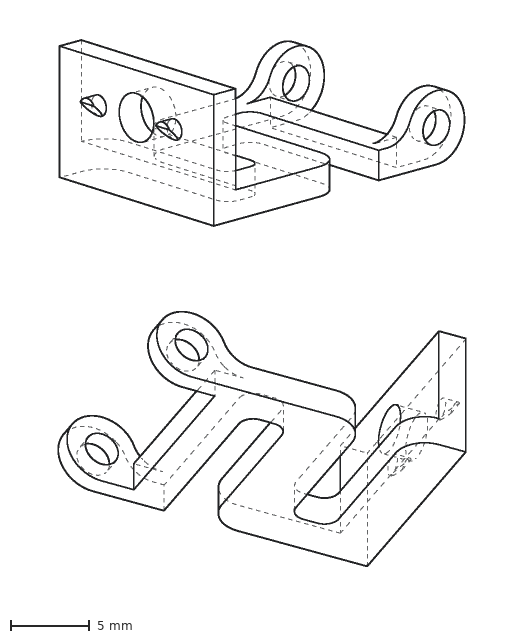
import cadquery as cq
import math

width = 14.3
plate_height = 8.7
plate_thickness = 1.9
base_thickness = 2.0

base_back = 17.05
slot_width = 3.0
front_slot_y = 3.95
back_slot_y = 11.3
front_slot_end_x = 11.3
back_slot_end_x = 2.45
slot_corner_radius = 1.0
bend_radius = 2.2
front_arm_radius = front_slot_y - plate_thickness

ear_width = 1.3
eye_radius = 2.45
eye_hole_diameter = 2.3
eye_y = 19.3
neck_radius = 2.1

plate_hole_diameter = 3.2
fixing_z = 5.57
pin_diameter = 1.4
pin_spacing = 7.0
pin_length = 1.0
pin_cut_rise = 0.02


def make_plate():
    """Upright plate with its central through hole."""
    plate = cq.Workplane("XY").box(width, plate_thickness, plate_height, centered=False)
    hole = (
        cq.Workplane("XZ", origin=(width / 2, 0, fixing_z))
        .circle(plate_hole_diameter / 2)
        .extrude(-plate_thickness)
    )
    return plate.cut(hole)


def rounded_corner(slab, x, y, radius):
    """Round the upright edge of a slab that passes through (x, y)."""
    edge = cq.selectors.NearestToPointSelector((x, y, base_thickness / 2))
    return slab.edges(edge).fillet(radius)


def make_base():
    """S-shaped slab with one slot from each side; it runs under the plate to the front face."""
    outline = [
        (0, 0),
        (0, front_slot_y),
        (front_slot_end_x, front_slot_y),
        (front_slot_end_x, front_slot_y + slot_width),
        (0, front_slot_y + slot_width),
        (0, base_back),
        (width, base_back),
        (width, back_slot_y + slot_width),
        (back_slot_end_x, back_slot_y + slot_width),
        (back_slot_end_x, back_slot_y),
        (width, back_slot_y),
        (width, 0),
    ]
    base = cq.Workplane("XY").polyline(outline).close().extrude(base_thickness)
    for slot_end_x, slot_y in ((front_slot_end_x, front_slot_y), (back_slot_end_x, back_slot_y)):
        for corner_y in (slot_y, slot_y + slot_width):
            base = rounded_corner(base, slot_end_x, corner_y, slot_corner_radius)
    base = rounded_corner(base, 0, front_slot_y + slot_width, bend_radius)
    base = rounded_corner(base, width, back_slot_y, bend_radius)

    return rounded_corner(base, 0, front_slot_y, front_arm_radius)


def make_ear(left_x):
    """Hinge ear: a drilled eye blended into the top of the base by a concave neck."""
    neck_z = base_thickness + neck_radius
    centre_distance = eye_radius + neck_radius
    neck_y = eye_y - math.sqrt(centre_distance**2 - (neck_z - eye_radius) ** 2)
    touch_angle = math.atan2(eye_radius - neck_z, eye_y - neck_y)
    neck_middle_angle = (touch_angle - math.pi / 2) / 2

    def neck_point(angle):
        return neck_y + neck_radius * math.cos(angle), neck_z + neck_radius * math.sin(angle)

    profile = (
        cq.Workplane("YZ", origin=(left_x, 0, 0))
        .moveTo(neck_y, 0)
        .lineTo(neck_y, base_thickness)
        .threePointArc(neck_point(neck_middle_angle), neck_point(touch_angle))
        .threePointArc((eye_y + eye_radius, eye_radius), (eye_y, 0))
        .close()
        .extrude(ear_width)
    )
    hole = (
        cq.Workplane("YZ", origin=(left_x, eye_y, eye_radius))
        .circle(eye_hole_diameter / 2)
        .extrude(ear_width)
    )
    return profile.cut(hole)


def make_pin(centre_x):
    """Locating pin whose underside is cut at 45 degrees, rising from the plate towards the tip."""
    pin = (
        cq.Workplane("XZ", origin=(centre_x, 0, fixing_z))
        .circle(pin_diameter / 2)
        .extrude(pin_length)
    )
    cut_foot_z = fixing_z - pin_diameter / 2 + pin_cut_rise
    lead = pin_diameter
    wedge = (
        cq.Workplane("YZ", origin=(centre_x, 0, cut_foot_z))
        .moveTo(lead, -lead)
        .lineTo(-pin_length - lead, -lead)
        .lineTo(-pin_length - lead, pin_length + lead)
        .close()
        .extrude(pin_diameter, both=True)
    )
    return pin.cut(wedge)


result = make_plate().union(make_base())
for ear_x in (0, width - ear_width):
    result = result.union(make_ear(ear_x))
for side in (-1, 1):
    result = result.union(make_pin(width / 2 + side * pin_spacing / 2))